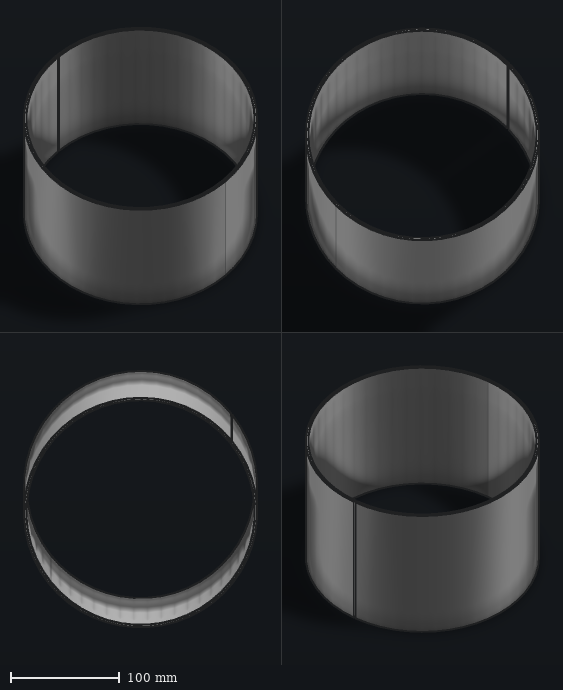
import cadquery as cq

outer_diameter = 215.0
wall_thickness = 2.5
height = 140.0
edge_chamfer = 0.5
slit_width = 1.7
slit_offset = 1.0

outer_radius = outer_diameter / 2

sleeve = (
    cq.Workplane("XY")
    .circle(outer_radius)
    .circle(outer_radius - wall_thickness)
    .extrude(height)
    .edges("%CIRCLE")
    .chamfer(edge_chamfer)
)

slit_depth = 4 * wall_thickness
slit = (
    cq.Workplane("XY")
    .center(-outer_radius, slit_offset)
    .rect(slit_depth, slit_width)
    .extrude(height)
)

result = sleeve.cut(slit)